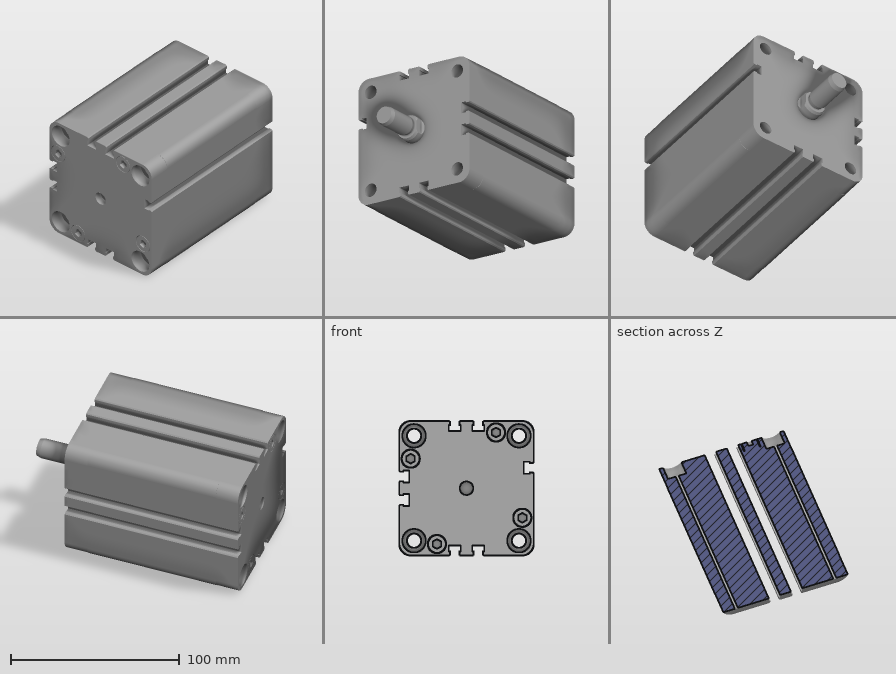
import cadquery as cq


body_width = 80.0
body_length = 110.1
front_cap_length = 14.0
rear_cap_length = 14.5
cap_corner_radius = 7.4
tube_corner_radius = 7.0
half_width = body_width / 2
tube_length = body_length - front_cap_length - rear_cap_length

slot_depth = 6.0
lip_depth = 2.5
slot_channel_width = 7.0
slot_mouth_width = 5.5
slot_mouth_chamfer = 0.64
slot_pitch = 14.0
single_slot_offset = 12.2

mount_offset = 31.1
mount_hole_diameter = 8.3
counterbore_diameter = 14.0
counterbore_depth = 8.5

screw_near_offset = 17.5
screw_far_offset = 33.1
screw_recess_diameter = 11.0
screw_head_diameter = 10.5
screw_head_height = 5.7
hex_across_corners = 5.8
hex_depth = 2.8
hex_turn = 30

centre_hole_diameter = 8.0
centre_hole_depth = 4.8

total_length = 141.5
rod_diameter = 16.0
rod_chamfer_length = 1.7
rod_chamfer_height = 0.8
shoulder_length = 7.2
neck_diameter = 10.0
neck_length = 2.8
thread_diameter = 12.0
neck_cone_length = 0.4
tip_diameter = 10.5
tip_chamfer_length = 2.8

flats_width = 13.3
flats_start = 1.7


def section(start, length, corner_radius):
    """Square prism along Y with rounded corners."""
    return (
        cq.Workplane("XZ", origin=(0, start, 0))
        .rect(body_width, body_width)
        .extrude(-length)
        .edges("|Y")
        .fillet(corner_radius)
    )


def slot(angle, offset):
    """Stepped slot cutter with a chamfered mouth in the top side, shifted along X, then turned about Y."""
    mouth = slot_mouth_width / 2
    channel = slot_channel_width / 2
    floor = half_width - slot_depth
    lip = half_width - lip_depth
    cutter = (
        cq.Workplane("XZ")
        .moveTo(-channel, floor)
        .lineTo(channel, floor)
        .lineTo(channel, lip)
        .lineTo(mouth, lip)
        .lineTo(mouth, half_width - slot_mouth_chamfer)
        .lineTo(mouth + slot_mouth_chamfer, half_width)
        .lineTo(-mouth - slot_mouth_chamfer, half_width)
        .lineTo(-mouth, half_width - slot_mouth_chamfer)
        .lineTo(-mouth, lip)
        .lineTo(-channel, lip)
        .close()
        .extrude(-body_length)
    )
    return cutter.translate((offset, 0, 0)).rotate((0, 0, 0), (0, 1, 0), angle)


def cylinders(points, diameter, start, length):
    """Cylinders along +Y at the given (x, z) points."""
    return cq.Workplane("XZ", origin=(0, start, 0)).pushPoints(points).circle(diameter / 2).extrude(-length)


def make_slots():
    """A pair of slots on top, bottom and -X side, and a single one on the +X side."""
    cutters = slot(90, -single_slot_offset)
    for angle in (0, 180, 270):
        for offset in (-slot_pitch / 2, slot_pitch / 2):
            cutters = cutters.union(slot(angle, offset))
    return cutters


def make_mount_holes():
    """Four through holes with their counterbores."""
    points = [(x, z) for x in (-mount_offset, mount_offset) for z in (-mount_offset, mount_offset)]
    holes = cylinders(points, mount_hole_diameter, 0, body_length)
    return holes.union(cylinders(points, counterbore_diameter, 0, counterbore_depth))


def make_screw_cuts():
    """Clearance ring around each screw head, and its hexagon socket."""
    points = [
        (screw_near_offset, screw_far_offset),
        (screw_far_offset, -screw_near_offset),
        (-screw_near_offset, -screw_far_offset),
        (-screw_far_offset, screw_near_offset),
    ]
    recesses = cylinders(points, screw_recess_diameter, 0, screw_head_height)
    heads = cylinders(points, screw_head_diameter, 0, screw_head_height)
    cuts = recesses.cut(heads)
    for x, z in points:
        cuts = cuts.union(
            cq.Workplane("XZ", origin=(x, 0, z))
            .polygon(6, hex_across_corners)
            .extrude(-hex_depth)
            .rotate((x, 0, z), (x, 1, z), hex_turn)
        )
    return cuts


def make_rod():
    """Turned profile revolved about Y, with two flats facing -X and +X."""
    shoulder = body_length + shoulder_length
    thread_start = shoulder + neck_length
    rod_radius = rod_diameter / 2
    thread_radius = thread_diameter / 2
    rod = (
        cq.Workplane("XY")
        .moveTo(0, body_length)
        .lineTo(rod_radius, body_length)
        .lineTo(rod_radius, shoulder - rod_chamfer_length)
        .lineTo(rod_radius - rod_chamfer_height, shoulder)
        .lineTo(neck_diameter / 2, shoulder)
        .lineTo(neck_diameter / 2, thread_start - neck_cone_length)
        .lineTo(thread_radius, thread_start)
        .lineTo(thread_radius, total_length - tip_chamfer_length)
        .lineTo(tip_diameter / 2, total_length)
        .lineTo(0, total_length)
        .close()
        .revolve(360, (0, 0, 0), (0, 1, 0))
    )
    runout = rod_radius - flats_width / 2
    flat = (
        cq.Workplane("XY", origin=(0, 0, -rod_radius))
        .moveTo(flats_width / 2, shoulder)
        .lineTo(flats_width / 2, body_length + flats_start)
        .lineTo(rod_radius, body_length + flats_start - runout)
        .lineTo(rod_radius, shoulder)
        .close()
        .extrude(rod_diameter)
    )
    return rod.cut(flat).cut(flat.mirror("YZ"))


slots = make_slots()
front_cap = section(0, front_cap_length, cap_corner_radius).cut(slots)
tube = section(front_cap_length, tube_length, tube_corner_radius).cut(slots)
rear_cap = section(body_length - rear_cap_length, rear_cap_length, cap_corner_radius).cut(slots)

body = front_cap.union(tube, clean=False).union(rear_cap, clean=False)
centre_hole = cylinders([(0, 0)], centre_hole_diameter, 0, centre_hole_depth)
for cutter in (make_mount_holes(), make_screw_cuts(), centre_hole):
    body = body.cut(cutter, clean=False)

result = body.union(make_rod(), clean=False)